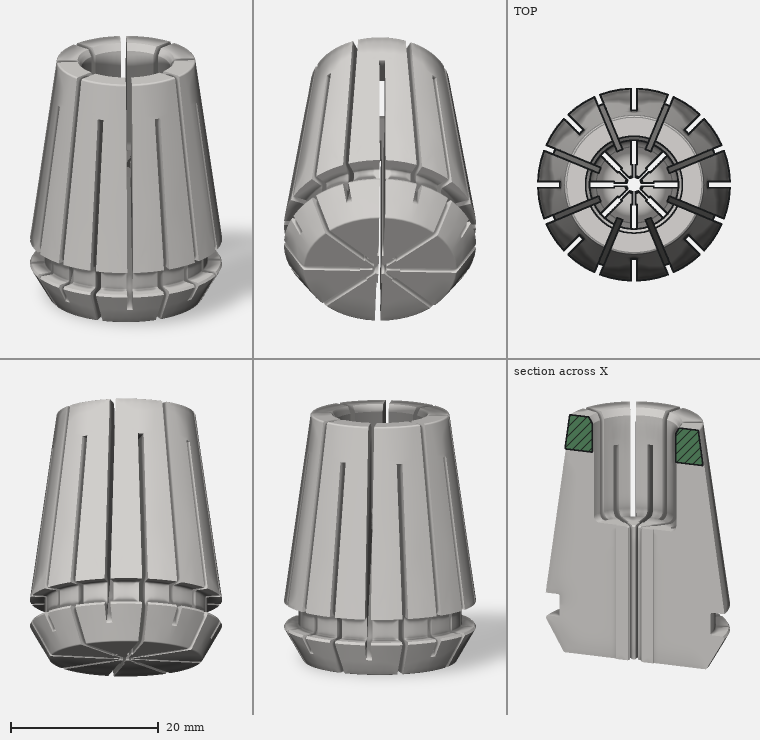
import cadquery as cq
import math

length = 34.0
max_radius = 13.0
body_taper = math.radians(8.0)
nose_taper = math.radians(30.0)

flange_rim_z = 4.6
flange_chamfer_width = 0.2
flange_chamfer_height = flange_chamfer_width / math.tan(nose_taper)
groove_bottom_z = flange_rim_z + flange_chamfer_height
groove_top_z = 8.15
groove_radius = 11.0
groove_fillet = 0.2
end_fillet = 0.25

clamp_radius = 1.0
clamp_length = 19.0
clamp_chamfer = 0.2
relief_radius = 6.0
relief_fillet = 0.85
relief_chamfer_width = 0.55
relief_chamfer_angle = math.radians(30.0)

slot_count = 8
slot_width = 0.8
narrow_slot_width = 0.4
narrow_slot_reach = 2.7
nose_slot_top_z = 29.0
back_slot_bottom_z = 2.3
back_slot_inner_radius = 5.0
slot_overrun = 1.0
slot_reach = max_radius + slot_overrun


def collet_blank():
    """Solid of revolution: nose cone, nut groove and tapered body."""
    nose_radius = max_radius - flange_rim_z * math.tan(nose_taper)
    back_radius = max_radius - (length - groove_top_z) * math.tan(body_taper)
    fillet_bulge = groove_fillet * (1 - math.sqrt(0.5))
    fillet_outer_radius = groove_radius + groove_fillet
    outline = (
        cq.Workplane("XZ")
        .lineTo(nose_radius, 0)
        .lineTo(max_radius, flange_rim_z)
        .lineTo(max_radius - flange_chamfer_width, groove_bottom_z)
        .lineTo(fillet_outer_radius, groove_bottom_z)
        .threePointArc(
            (groove_radius + fillet_bulge, groove_bottom_z + fillet_bulge),
            (groove_radius, groove_bottom_z + groove_fillet),
        )
        .lineTo(groove_radius, groove_top_z - groove_fillet)
        .threePointArc(
            (groove_radius + fillet_bulge, groove_top_z - fillet_bulge),
            (fillet_outer_radius, groove_top_z),
        )
        .lineTo(max_radius, groove_top_z)
        .lineTo(back_radius, length)
        .lineTo(0, length)
        .close()
    )
    blank = outline.revolve(360, (0, 0, 0), (0, 1, 0))
    return blank.faces("<Z or >Z").edges().fillet(end_fillet)


def bore_cutter():
    """Clamping bore opening into the wider relief bore with a rounded floor."""
    arc_drop = relief_fillet * math.sqrt(0.5)
    arc_center_radius = relief_radius - relief_fillet
    chamfer_height = relief_chamfer_width / math.tan(relief_chamfer_angle)
    arc_center_z = clamp_length + relief_fillet
    outline = (
        cq.Workplane("XZ")
        .lineTo(clamp_radius, 0)
        .lineTo(clamp_radius, clamp_length - clamp_chamfer)
        .lineTo(clamp_radius + clamp_chamfer, clamp_length)
        .lineTo(arc_center_radius, clamp_length)
        .threePointArc(
            (arc_center_radius + arc_drop, arc_center_z - arc_drop),
            (relief_radius, arc_center_z),
        )
        .lineTo(relief_radius, length - chamfer_height)
        .lineTo(relief_radius + relief_chamfer_width, length)
        .lineTo(0, length)
        .close()
    )
    return outline.revolve(360, (0, 0, 0), (0, 1, 0))


def radial_slot(inner_radius, outer_radius, width, bottom_z, top_z, angle):
    """Box-shaped slot cutter running outward along the given angle."""
    return (
        cq.Workplane("XY")
        .box(outer_radius - inner_radius, width, top_z - bottom_z, centered=(False, True, False))
        .translate((inner_radius, 0, bottom_z))
        .rotate((0, 0, 0), (0, 0, 1), angle)
    )


def nose_slot(angle):
    """Slot open at the nose end, narrower close to the clamping bore."""
    narrow = radial_slot(
        0, narrow_slot_reach, narrow_slot_width, -slot_overrun, nose_slot_top_z, angle
    )
    wide = radial_slot(
        narrow_slot_reach, slot_reach, slot_width, -slot_overrun, nose_slot_top_z, angle
    )
    return narrow.union(wide)


def back_slot(angle):
    """Slot open at the back end, its floor sloping from the relief bore out to the nose cone."""
    floor_outer_radius = max_radius - (flange_rim_z - back_slot_bottom_z) * math.tan(nose_taper)
    top_z = length + slot_overrun
    return (
        cq.Workplane("XZ")
        .moveTo(back_slot_inner_radius, top_z)
        .lineTo(back_slot_inner_radius, clamp_length)
        .lineTo(floor_outer_radius, back_slot_bottom_z)
        .lineTo(slot_reach, back_slot_bottom_z)
        .lineTo(slot_reach, top_z)
        .close()
        .extrude(slot_width / 2, both=True)
        .rotate((0, 0, 0), (0, 0, 1), angle)
    )


result = collet_blank().cut(bore_cutter())
slot_pitch = 360.0 / slot_count
for index in range(slot_count):
    nose_angle = index * slot_pitch
    result = result.cut(nose_slot(nose_angle))
    result = result.cut(back_slot(nose_angle + slot_pitch / 2))